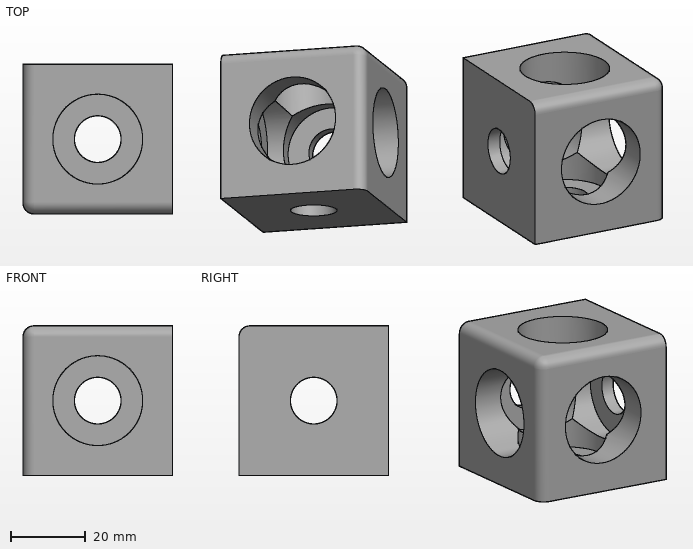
import cadquery as cq

side = 40.0
edge_radius = 3.0
bore_diameter = 24.0
through_diameter = 12.4
bore_depth = 36.4

half = side / 2

cube = cq.Workplane("XY").box(side, side, side)
rounded_edges = (
    cube.edges("|Z and <X and <Y")
    .add(cube.edges("|X and <Y and >Z"))
    .add(cube.edges("|Y and <X and >Z"))
)
result = rounded_edges.fillet(edge_radius)


def stepped_hole(direction):
    """Wide bore from the face at -direction, with a narrow hole on through the far wall."""
    entry = direction * -half
    bore = cq.Solid.makeCylinder(bore_diameter / 2, bore_depth, entry, direction)
    through = cq.Solid.makeCylinder(through_diameter / 2, side, entry, direction)
    return bore.fuse(through)


for inward in (cq.Vector(1, 0, 0), cq.Vector(0, 1, 0), cq.Vector(0, 0, -1)):
    result = result.cut(cq.Workplane(stepped_hole(inward)))